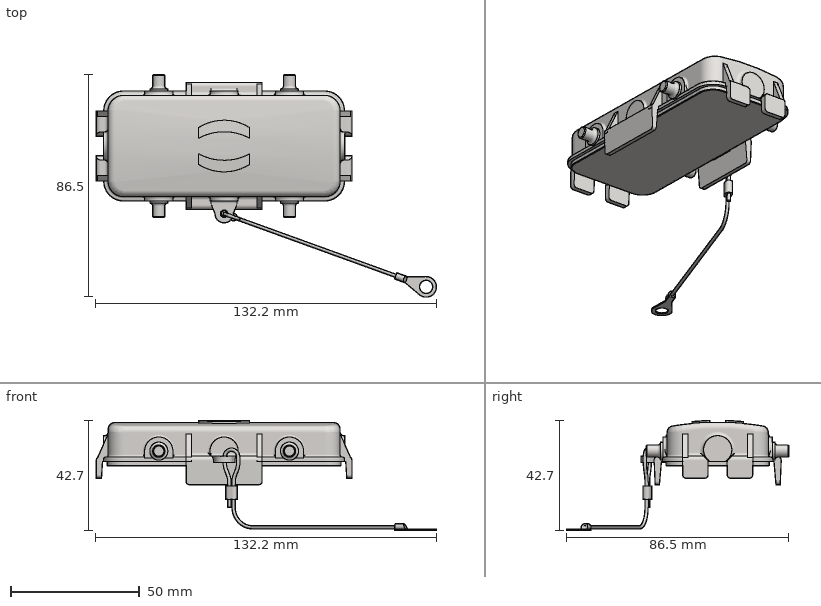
import cadquery as cq
import math

OVERALL_LENGTH = 132.2
ARC_MIDDLE = 1 - math.sqrt(0.5)

WALL_HALF_X = 45.1
WALL_HALF_Y = 19.7
WALL_CORNER = 6.1
CROWN_Z = 17.0
CROWN_DROP = 1.9
TOP_ROUND = 2.6

FLANGE_OUT = 1.7
FLANGE_BOTTOM = 1.7
FLANGE_TOP = 3.5
FLANGE_EDGE_ROUND = 0.7
FLANGE_ROOT_ROUND = 0.9
RIM_OUT = 0.4
RIM_EDGE = 0.3

BOSS_DIAMETER = 11.0
SIDE_BOSS_FLARE = 0.8
SIDE_BOSS_FACE = 21.3
SIDE_BOSS_Z = 5.8
END_BOSS_FLARE = 1.5
END_BOSS_FACE = 47.0
END_BOSS_Z = 6.3
PIN_X = 25.4
PIN_DIAMETER = 4.8
PIN_END_Y = 27.8
PIN_BEVEL = 0.4
COLLAR_DIAMETER = 7.0
COLLAR_FACE = 22.2

LATCH_ROOT_Z = 5.2
LATCH_SHELF_Z = 3.8
LATCH_SHOULDER_ROUND = 1.7
SHELF_ROOT_ROUND = 1.0
RIB_TOP_Z = 12.4
RIB_WIDTH = 2.1
LATCH_CORNER = 1.3
EMBED = 1.3

SIDE_LATCH_HALF = 14.8
SIDE_LATCH_OUT = 24.7
SIDE_LATCH_TIP_OUT = 24.3
SIDE_LATCH_IN = 21.8
SIDE_LATCH_TIP_IN = 22.6
SIDE_LATCH_BOTTOM = -7.3

END_LATCH_NEAR = 3.7
END_LATCH_FAR = 13.6
END_LATCH_OUT = 49.7
END_LATCH_IN = 47.2
END_LATCH_TIP_IN = 47.6
END_LATCH_BOTTOM = -4.8

EYELET_Y = -26.3
EYELET_RADIUS = 3.6
EYELET_HOLE = 2.1
EYELET_BEVEL = 0.4
EYELET_ROOT_HALF = 5.0
EYELET_ROOT_Y = -22.6
EYELET_BOTTOM = 1.3
EYELET_TOP = 3.8

BAND_HALF_WIDTH = 9.9
BAND_END_INNER_Y = 3.0
BAND_END_OUTER_Y = 7.1
BAND_MID_INNER_Y = 5.5
BAND_MID_OUTER_Y = 10.0
BAND_RAISE = 0.73

CABLE_ANGLE = -19.9
CABLE_DIAMETER = 1.3
LOOP_AXIS = 3.0
LOOP_RADIUS = 2.8
LOOP_CENTRE_Z = 3.6
LEG_BEND_Z = 1.3
LEG_JOIN_Z = -6.3
STRAND_OFFSET = 0.86
SLEEVE_TOP = -7.7
SLEEVE_BOTTOM = -13.0
SLEEVE_DIAMETER = 2.9
STRAND_END_Z = -16.0
CABLE_RUN_Z = -23.8
CABLE_BEND_RADIUS = STRAND_END_Z - CABLE_RUN_Z

TERMINAL_BOTTOM = -25.0
TERMINAL_THICKNESS = 0.5
BARREL_DIAMETER = 2.6
BARREL_START = 70.9
CABLE_END = 74.2
BARREL_END = 75.4
RING_DIAMETER = 8.0
RING_HOLE = 5.0
RING_REACH = OVERALL_LENGTH - END_LATCH_OUT - RING_DIAMETER / 2
RING_CENTRE = RING_REACH / math.cos(math.radians(CABLE_ANGLE))


def rounded_plate(overhang, bottom, top):
    """Plate with the plan of the wall, enlarged all round by the overhang."""
    return (
        cq.Workplane("XY", origin=(0, 0, bottom))
        .rect(2 * (WALL_HALF_X + overhang), 2 * (WALL_HALF_Y + overhang))
        .extrude(top - bottom)
        .edges("|Z")
        .fillet(WALL_CORNER + overhang)
    )


def arch_solid(raise_by):
    """Solid wider and longer than the flange whose top is the cover's arch, raised a little."""
    arch_radius = (WALL_HALF_Y**2 + CROWN_DROP**2) / (2 * CROWN_DROP)
    half_x = WALL_HALF_X + 2 * FLANGE_OUT
    half_y = WALL_HALF_Y + 2 * FLANGE_OUT
    edge_z = CROWN_Z - arch_radius + math.sqrt(arch_radius**2 - half_y**2)
    return (
        cq.Workplane("YZ", origin=(-half_x, 0, raise_by))
        .moveTo(-half_y, 0)
        .lineTo(-half_y, edge_z)
        .threePointArc((0, CROWN_Z), (half_y, edge_z))
        .lineTo(half_y, 0)
        .close()
        .extrude(2 * half_x)
    )


def shell():
    """Arched body with its flange and the rim under it."""
    wall = rounded_plate(0, FLANGE_BOTTOM, CROWN_Z + EMBED)
    flange = rounded_plate(FLANGE_OUT, FLANGE_BOTTOM, FLANGE_TOP)
    flange = flange.faces(">Z").edges().fillet(FLANGE_EDGE_ROUND)
    margin = 0.07
    wall_foot = cq.selectors.BoxSelector(
        (-WALL_HALF_X - margin, -WALL_HALF_Y - margin, FLANGE_TOP - margin),
        (WALL_HALF_X + margin, WALL_HALF_Y + margin, FLANGE_TOP + margin),
        boundingbox=True,
    )
    body = wall.union(flange).edges(wall_foot).fillet(FLANGE_ROOT_ROUND)
    body = body.intersect(arch_solid(0)).faces(">Z").edges().fillet(TOP_ROUND)
    rim = rounded_plate(RIM_OUT, 0, FLANGE_BOTTOM).faces("<Z").edges().chamfer(RIM_EDGE)
    return body.union(rim)


def boss(wall, face, centre_z, flare):
    """Round boss that points along +X, flared at the wall and cut off at the flange bottom."""
    radius = BOSS_DIAMETER / 2
    foot = radius + flare
    flare_middle = flare * ARC_MIDDLE
    round_part = (
        cq.Workplane("XY")
        .moveTo(wall - EMBED, 0)
        .lineTo(wall - EMBED, foot)
        .lineTo(wall, foot)
        .threePointArc((wall + flare_middle, radius + flare_middle), (wall + flare, radius))
        .lineTo(face, radius)
        .lineTo(face, 0)
        .close()
        .revolve(360, (0, 0, 0), (1, 0, 0))
        .translate((0, 0, centre_z))
    )
    above_flange = cq.Workplane("XY", origin=(face, 0, FLANGE_BOTTOM)).box(
        4 * radius, 4 * radius, 4 * radius, centered=(True, True, False)
    )
    return round_part.intersect(above_flange)


def side_boss():
    """Boss of a long wall."""
    return boss(WALL_HALF_Y, SIDE_BOSS_FACE, SIDE_BOSS_Z, SIDE_BOSS_FLARE)


def pin_boss():
    """Side boss made arch-shaped by a straight-sided lower part."""
    depth = SIDE_BOSS_FACE - WALL_HALF_Y + EMBED
    height = SIDE_BOSS_Z - FLANGE_BOTTOM
    skirt = cq.Workplane("XY", origin=(WALL_HALF_Y - EMBED, 0, FLANGE_BOTTOM)).box(
        depth, BOSS_DIAMETER, height, centered=(False, True, False)
    )
    return side_boss().union(skirt)


def shelf_root():
    """Concave strip between the middle boss of a long wall and the latch shelf below it."""
    top_z = LATCH_SHELF_Z + SHELF_ROOT_ROUND
    end = SIDE_BOSS_FACE + SHELF_ROOT_ROUND
    arc_middle = SHELF_ROOT_ROUND * ARC_MIDDLE
    return (
        cq.Workplane("XZ", origin=(0, EYELET_ROOT_HALF, 0))
        .moveTo(WALL_HALF_Y, LATCH_SHELF_Z - LATCH_SHOULDER_ROUND)
        .lineTo(WALL_HALF_Y, top_z)
        .lineTo(SIDE_BOSS_FACE, top_z)
        .threePointArc((SIDE_BOSS_FACE + arc_middle, LATCH_SHELF_Z + arc_middle), (end, LATCH_SHELF_Z))
        .lineTo(end, LATCH_SHELF_Z - LATCH_SHOULDER_ROUND)
        .close()
        .extrude(2 * EYELET_ROOT_HALF)
    )


def pin():
    """Pin along +X with a flared collar at its foot."""
    pin_radius = PIN_DIAMETER / 2
    collar_radius = COLLAR_DIAMETER / 2
    flare = collar_radius - pin_radius
    flare_middle = flare * ARC_MIDDLE
    return (
        cq.Workplane("XY")
        .moveTo(WALL_HALF_Y, 0)
        .lineTo(WALL_HALF_Y, collar_radius)
        .lineTo(COLLAR_FACE, collar_radius)
        .threePointArc(
            (COLLAR_FACE + flare_middle, pin_radius + flare_middle),
            (COLLAR_FACE + flare, pin_radius),
        )
        .lineTo(PIN_END_Y - PIN_BEVEL, pin_radius)
        .lineTo(PIN_END_Y, pin_radius - PIN_BEVEL)
        .lineTo(PIN_END_Y, 0)
        .close()
        .revolve(360, (0, 0, 0), (1, 0, 0))
        .translate((0, 0, SIDE_BOSS_Z))
    )


def latch_rib(wall, out, start):
    """Sloping rib from high on the wall to the latch shoulder, pointing along +X."""
    shoulder_z = LATCH_SHELF_Z - LATCH_SHOULDER_ROUND
    return (
        cq.Workplane("XZ", origin=(0, start + RIB_WIDTH, 0))
        .polyline([
            (wall - EMBED, FLANGE_BOTTOM),
            (wall - EMBED, RIB_TOP_Z),
            (wall, RIB_TOP_Z),
            (out, shoulder_z),
            (out, FLANGE_BOTTOM),
        ])
        .close()
        .extrude(RIB_WIDTH)
    )


def latch_plate(wall, out, tip_out, inside, tip_in, bottom, start, end):
    """Shelf and hanging plate of a latch pointing along +X, from start to end along Y."""
    root = LATCH_ROOT_Z - LATCH_SHELF_Z
    root_middle = root * ARC_MIDDLE
    shoulder = LATCH_SHOULDER_ROUND
    shoulder_middle = shoulder * ARC_MIDDLE
    plate = (
        cq.Workplane("XZ", origin=(0, end, 0))
        .moveTo(wall - EMBED, LATCH_ROOT_Z)
        .lineTo(wall, LATCH_ROOT_Z)
        .threePointArc(
            (wall + root_middle, LATCH_SHELF_Z + root_middle), (wall + root, LATCH_SHELF_Z)
        )
        .lineTo(out - shoulder, LATCH_SHELF_Z)
        .threePointArc(
            (out - shoulder_middle, LATCH_SHELF_Z - shoulder_middle), (out, LATCH_SHELF_Z - shoulder)
        )
        .lineTo(tip_out, bottom)
        .lineTo(tip_in, bottom)
        .lineTo(inside, FLANGE_BOTTOM)
        .lineTo(wall - EMBED, FLANGE_BOTTOM)
        .close()
        .extrude(end - start)
    )
    return plate.faces("<Z").edges("|X").fillet(LATCH_CORNER)


def side_latch():
    """Wide latch of a long wall, with a rib at each end."""
    half = SIDE_LATCH_HALF
    plate = latch_plate(
        WALL_HALF_Y, SIDE_LATCH_OUT, SIDE_LATCH_TIP_OUT, SIDE_LATCH_IN, SIDE_LATCH_TIP_IN,
        SIDE_LATCH_BOTTOM, -half, half,
    )
    for start in (-half, half - RIB_WIDTH):
        plate = plate.union(latch_rib(WALL_HALF_Y, SIDE_LATCH_OUT, start))
    return plate


def end_latch():
    """Narrow latch of a short wall, ribbed at its far end and bevelled at its near end."""
    plate = latch_plate(
        WALL_HALF_X, END_LATCH_OUT, END_LATCH_OUT, END_LATCH_IN, END_LATCH_TIP_IN,
        END_LATCH_BOTTOM, END_LATCH_NEAR, END_LATCH_FAR,
    )
    bevel_bottom = LATCH_SHELF_Z - LATCH_SHOULDER_ROUND
    bevel = LATCH_ROOT_Z - bevel_bottom
    corner = (
        cq.Workplane("YZ", origin=(WALL_HALF_X, 0, 0))
        .polyline([
            (END_LATCH_NEAR, bevel_bottom),
            (END_LATCH_NEAR + bevel, LATCH_ROOT_Z),
            (END_LATCH_NEAR, LATCH_ROOT_Z),
        ])
        .close()
        .extrude(END_LATCH_OUT - WALL_HALF_X)
    )
    return plate.cut(corner).union(latch_rib(WALL_HALF_X, END_LATCH_OUT, END_LATCH_FAR - RIB_WIDTH))


def turned(feature, angle):
    """Feature turned about the vertical axis."""
    return feature.rotate((0, 0, 0), (0, 0, 1), angle)


def eyelet():
    """Tapered lug with a round tip; its bevelled hole takes the cable."""
    height = EYELET_TOP - EYELET_BOTTOM
    tab = (
        cq.Workplane("XY", origin=(0, 0, EYELET_BOTTOM))
        .polyline([
            (-EYELET_ROOT_HALF, -WALL_HALF_Y),
            (-EYELET_ROOT_HALF, EYELET_ROOT_Y),
            (-EYELET_RADIUS, EYELET_Y),
            (EYELET_RADIUS, EYELET_Y),
            (EYELET_ROOT_HALF, EYELET_ROOT_Y),
            (EYELET_ROOT_HALF, -WALL_HALF_Y),
        ])
        .close()
        .extrude(height)
    )
    tip = cq.Workplane("XY", origin=(0, EYELET_Y, EYELET_BOTTOM)).circle(EYELET_RADIUS).extrude(height)
    hole_bevel = EYELET_HOLE / 2 + EYELET_BEVEL
    hole = (
        cq.Workplane("XZ", origin=(0, EYELET_Y, 0))
        .polyline([
            (0, EYELET_BOTTOM),
            (hole_bevel, EYELET_BOTTOM),
            (EYELET_HOLE / 2, EYELET_BOTTOM + EYELET_BEVEL),
            (EYELET_HOLE / 2, EYELET_TOP - EYELET_BEVEL),
            (hole_bevel, EYELET_TOP),
            (0, EYELET_TOP),
        ])
        .close()
        .revolve(360, (0, 0, 0), (0, 1, 0))
    )
    return tab.union(tip).cut(hole)


def raised_band(side):
    """Arched band lying on the top, on the +Y (side = 1) or -Y (side = -1) half."""
    outline = (
        cq.Workplane("XY", origin=(0, 0, FLANGE_TOP))
        .moveTo(-BAND_HALF_WIDTH, side * BAND_END_INNER_Y)
        .threePointArc((0, side * BAND_MID_INNER_Y), (BAND_HALF_WIDTH, side * BAND_END_INNER_Y))
        .lineTo(BAND_HALF_WIDTH, side * BAND_END_OUTER_Y)
        .threePointArc((0, side * BAND_MID_OUTER_Y), (-BAND_HALF_WIDTH, side * BAND_END_OUTER_Y))
        .close()
        .extrude(CROWN_Z)
    )
    return outline.intersect(arch_solid(BAND_RAISE))


def make_cover():
    """Cover with its latches, bosses, pins, raised bands and eyelet as one solid."""
    cover = shell()
    for angle in (90, -90):
        cover = cover.union(turned(side_latch(), angle))
        cover = cover.union(turned(side_boss(), angle))
        cover = cover.union(turned(shelf_root(), angle))
        for x in (-PIN_X, PIN_X):
            cover = cover.union(turned(pin_boss().union(pin()), angle).translate((x, 0, 0)))
    end_boss = boss(WALL_HALF_X, END_BOSS_FACE, END_BOSS_Z, END_BOSS_FLARE)
    for angle in (0, 180):
        cover = cover.union(turned(end_boss, angle))
        cover = cover.union(turned(end_latch(), angle))
        cover = cover.union(turned(end_latch().mirror("XZ"), angle))
    for side in (-1, 1):
        cover = cover.union(raised_band(side))
    return cover.union(eyelet())


def set_in_place(body):
    """Body turned to the cable direction and moved to the eyelet hole."""
    return turned(body, CABLE_ANGLE).translate((0, EYELET_Y, 0))


def make_cable():
    """Cable from its short end, round the loop, down, and along to the terminal."""
    left = LOOP_AXIS - STRAND_OFFSET
    right = LOOP_AXIS + STRAND_OFFSET
    down = (0, -1)
    up = (0, 1)
    bend_middle = CABLE_BEND_RADIUS * ARC_MIDDLE
    path = (
        cq.Workplane("XZ")
        .moveTo(left, STRAND_END_Z)
        .lineTo(left, LEG_JOIN_Z)
        .spline([(LOOP_AXIS - LOOP_RADIUS, LEG_BEND_Z)], tangents=[up, up], includeCurrent=True)
        .lineTo(LOOP_AXIS - LOOP_RADIUS, LOOP_CENTRE_Z)
        .threePointArc(
            (LOOP_AXIS, LOOP_CENTRE_Z + LOOP_RADIUS), (LOOP_AXIS + LOOP_RADIUS, LOOP_CENTRE_Z)
        )
        .lineTo(LOOP_AXIS + LOOP_RADIUS, LEG_BEND_Z)
        .spline([(right, LEG_JOIN_Z)], tangents=[down, down], includeCurrent=True)
        .lineTo(right, STRAND_END_Z)
        .threePointArc(
            (right + bend_middle, CABLE_RUN_Z + bend_middle), (right + CABLE_BEND_RADIUS, CABLE_RUN_Z)
        )
        .lineTo(CABLE_END, CABLE_RUN_Z)
    )
    start = cq.Workplane("XY", origin=(left, 0, STRAND_END_Z)).circle(CABLE_DIAMETER / 2)
    return start.sweep(path)


def make_sleeve():
    """Flat crimp sleeve with a bore for each strand."""
    return (
        cq.Workplane("XY", origin=(LOOP_AXIS, 0, SLEEVE_BOTTOM))
        .slot2D(2 * STRAND_OFFSET + SLEEVE_DIAMETER, SLEEVE_DIAMETER)
        .pushPoints([(-STRAND_OFFSET, 0), (STRAND_OFFSET, 0)])
        .circle(CABLE_DIAMETER / 2)
        .extrude(SLEEVE_TOP - SLEEVE_BOTTOM)
    )


def make_terminal():
    """Ring terminal: a crimp barrel round the cable end and a flat ring tongue."""
    barrel_radius = BARREL_DIAMETER / 2
    tongue_top = TERMINAL_BOTTOM + TERMINAL_THICKNESS
    ring_radius = RING_DIAMETER / 2
    reach = RING_CENTRE - BARREL_END
    corner_distance = math.hypot(reach, barrel_radius)
    tangent_angle = math.atan2(barrel_radius, reach) + math.acos(ring_radius / corner_distance)
    tangent_x = RING_CENTRE - ring_radius * math.cos(tangent_angle)
    tangent_y = ring_radius * math.sin(tangent_angle)
    barrel = (
        cq.Workplane("YZ", origin=(BARREL_START, 0, TERMINAL_BOTTOM + barrel_radius))
        .circle(barrel_radius)
        .extrude(BARREL_END - BARREL_START)
    )
    slope_cut = (
        cq.Workplane("XZ", origin=(0, barrel_radius, 0))
        .polyline([
            (CABLE_END, TERMINAL_BOTTOM + BARREL_DIAMETER),
            (BARREL_END, TERMINAL_BOTTOM + BARREL_DIAMETER),
            (BARREL_END, tongue_top),
        ])
        .close()
        .extrude(BARREL_DIAMETER)
    )
    tongue = (
        cq.Workplane("XY", origin=(0, 0, TERMINAL_BOTTOM))
        .moveTo(BARREL_START, -barrel_radius)
        .lineTo(BARREL_END, -barrel_radius)
        .lineTo(tangent_x, -tangent_y)
        .threePointArc((RING_CENTRE + ring_radius, 0), (tangent_x, tangent_y))
        .lineTo(BARREL_END, barrel_radius)
        .lineTo(BARREL_START, barrel_radius)
        .close()
        .extrude(TERMINAL_THICKNESS)
    )
    ring_hole = (
        cq.Workplane("XY", origin=(RING_CENTRE, 0, TERMINAL_BOTTOM))
        .circle(RING_HOLE / 2)
        .extrude(TERMINAL_THICKNESS)
    )
    bore = (
        cq.Workplane("YZ", origin=(BARREL_START, 0, CABLE_RUN_Z))
        .circle(CABLE_DIAMETER / 2)
        .extrude(CABLE_END - BARREL_START)
    )
    return barrel.cut(slope_cut).union(tongue).cut(ring_hole).cut(bore)


cover = make_cover()
cable = set_in_place(make_cable())
sleeve = set_in_place(make_sleeve())
terminal = set_in_place(make_terminal())

result = cq.Compound.makeCompound([body.solids().val() for body in (cover, cable, sleeve, terminal)])